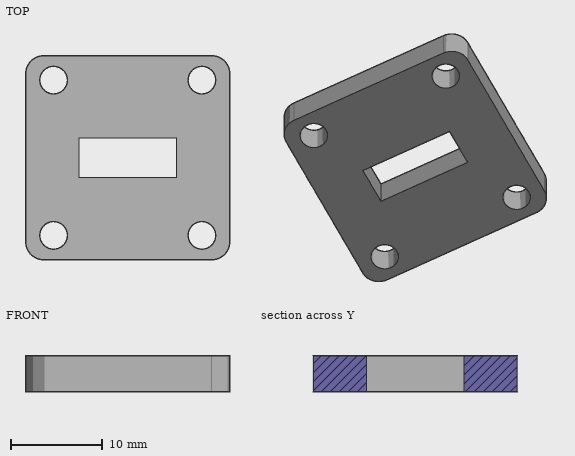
import cadquery as cq

flange_side = 22.4
flange_thickness = 4.0
corner_radius = 2.0

opening_width = 10.668
opening_height = 4.318

hole_diameter = 3.0
hole_spacing_x = 16.26
hole_spacing_y = 17.02


def make_flange():
    """Square plate, base on Z = 0, with rounded vertical edges."""
    plate = cq.Workplane("XY").rect(flange_side, flange_side).extrude(flange_thickness)
    return plate.edges("|Z").fillet(corner_radius)


def cut_opening(body):
    """Cut the sharp-cornered waveguide opening through the plate."""
    return body.faces(">Z").workplane().rect(opening_width, opening_height).cutThruAll()


def cut_mounting_holes(body):
    """Drill the four mounting holes through the plate."""
    pattern = body.faces(">Z").workplane().rect(hole_spacing_x, hole_spacing_y, forConstruction=True)
    return pattern.vertices().hole(hole_diameter)


result = cut_mounting_holes(cut_opening(make_flange()))